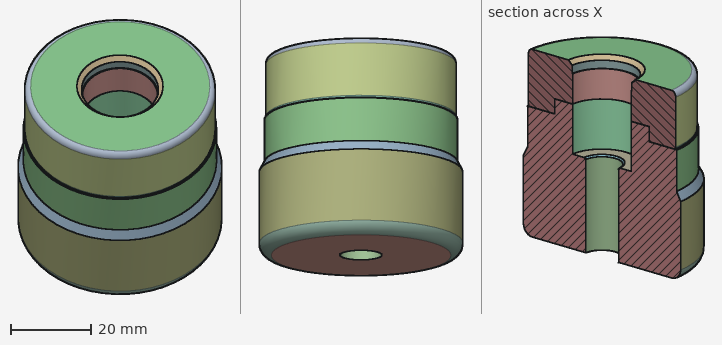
import cadquery as cq

height = 50.2
base_radius = 25.4
neck_radius = 24.1
cap_radius = 23.75

shoulder_bottom = 21.2
shoulder_top = 23.6
joint_height = 34.75
spigot_top = 38.75
lip_bottom = 46.85

base_fillet = 3.05
cap_fillet = 1.45
neck_chamfer = 0.15
cap_chamfer = 0.6
cap_chamfer_inset = 0.1
mouth_chamfer = 1.15
hole_chamfer = 0.45

mouth_radius = 9.55
bore_radius = 9.35
hole_radius = 5.25
spigot_radius = 15.25
bore_floor = 25.4


def revolved(outline):
    """Turn a closed radius-height outline about the Z axis."""
    return outline.close().revolve(360, (0, 0, 0), (0, 1, 0))


def make_base():
    """Stepped lower body with a locating spigot and a counterbored through hole."""
    outline = (
        cq.Workplane("XZ")
        .moveTo(hole_radius, 0)
        .lineTo(base_radius - base_fillet, 0)
        .radiusArc((base_radius, base_fillet), -base_fillet)
        .lineTo(base_radius, shoulder_bottom)
        .lineTo(neck_radius, shoulder_top)
        .lineTo(neck_radius, joint_height - neck_chamfer)
        .lineTo(neck_radius - neck_chamfer, joint_height)
        .lineTo(spigot_radius, joint_height)
        .lineTo(spigot_radius, spigot_top)
        .lineTo(bore_radius, spigot_top)
        .lineTo(bore_radius, bore_floor)
        .lineTo(hole_radius + hole_chamfer, bore_floor)
        .lineTo(hole_radius, bore_floor - hole_chamfer)
    )
    return revolved(outline)


def make_cap():
    """Upper ring that seats over the spigot, with a slightly wider chamfered mouth."""
    outline = (
        cq.Workplane("XZ")
        .moveTo(spigot_radius, joint_height)
        .lineTo(cap_radius - cap_chamfer_inset, joint_height)
        .lineTo(cap_radius, joint_height + cap_chamfer)
        .lineTo(cap_radius, height - cap_fillet)
        .radiusArc((cap_radius - cap_fillet, height), -cap_fillet)
        .lineTo(mouth_radius + mouth_chamfer, height)
        .lineTo(mouth_radius, height - mouth_chamfer)
        .lineTo(mouth_radius, lip_bottom)
        .lineTo(bore_radius, lip_bottom)
        .lineTo(bore_radius, spigot_top)
        .lineTo(spigot_radius, spigot_top)
    )
    return revolved(outline)


base = make_base()
cap = make_cap()

result = cq.Compound.makeCompound([base.val(), cap.val()])